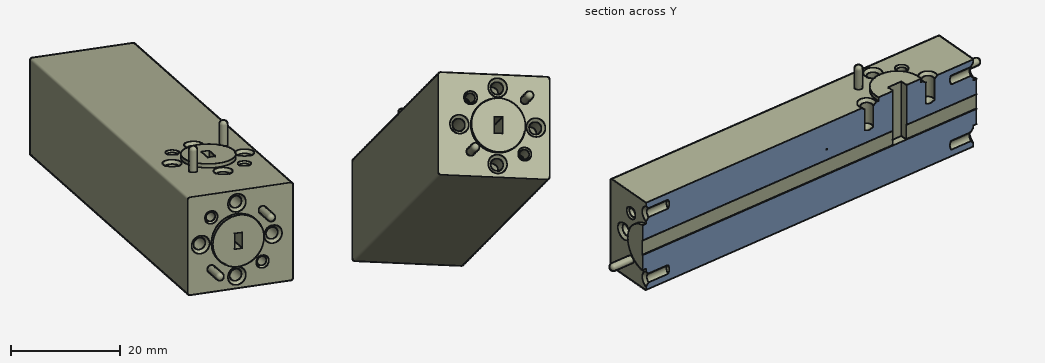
import cadquery as cq
import math

total_length = 86.0
body_width = 20.8
total_height = 24.0

pin_length = 4.8
pin_diameter = 1.55
pin_tip_radius = 0.7

body_length = total_length - 2 * pin_length
body_height = total_height - pin_length
edge_radius = 0.5

boss_diameter = 10.1
boss_height = 0.8
bolt_circle_radius = 7.1
diagonal_offset = bolt_circle_radius * math.sin(math.radians(45))

screw_hole_diameter = 2.3
screw_sink_diameter = 3.5
screw_hole_depth = 5.2
drill_point_angle = 118.0

socket_diameter = 1.8
socket_sink_diameter = 2.5
socket_depth = 5.2

guide_long = 3.1
guide_short = 1.55
guide_offset = 0.7
side_port_x = 21.0
port_height = body_height / 2

pin_places = [(-diagonal_offset, diagonal_offset), (diagonal_offset, -diagonal_offset)]
socket_places = [(diagonal_offset, diagonal_offset), (-diagonal_offset, -diagonal_offset)]
drilled_screw_places = [(-bolt_circle_radius, 0), (bolt_circle_radius, 0), (0, -bolt_circle_radius)]
flat_screw_place = (0, bolt_circle_radius)

top_plane = cq.Plane(
    origin=(side_port_x, guide_offset, body_height), xDir=(1, 0, 0), normal=(0, 0, 1))
left_plane = cq.Plane(
    origin=(-body_length / 2, -guide_offset, port_height), xDir=(0, 0, 1), normal=(-1, 0, 0))
right_plane = cq.Plane(
    origin=(body_length / 2, -guide_offset, port_height), xDir=(0, 0, -1), normal=(1, 0, 0))


def sunk_hole(diameter, sink_diameter, depth, point_angle=None):
    """Cutter for a hole going down from Z = 0, with a 45 degree countersink and an optional drill point."""
    radius = diameter / 2
    sink_radius = sink_diameter / 2
    profile = (
        cq.Workplane("XZ")
        .lineTo(sink_radius, 0)
        .lineTo(radius, radius - sink_radius)
        .lineTo(radius, -depth)
    )
    point_depth = 0
    if point_angle:
        point_depth = radius / math.tan(math.radians(point_angle / 2))
    return profile.lineTo(0, -depth - point_depth).close().revolve(360, (0, 0), (0, 1))


def place(shape, plane, spots):
    """Copies of a shape at local spots on a flange plane."""
    copies = cq.Workplane()
    for x, y in spots:
        copies = copies.add(shape.translate((x, y, 0)).val().moved(plane.location))
    return copies


def cut_each(solid, cutters):
    for cutter in cutters.vals():
        solid = solid.cut(cq.Workplane(cutter))
    return solid


def add_flange(solid, plane, flat_hole_depth):
    """Raised boss, screw holes, pin sockets and alignment pins around one port."""
    boss = cq.Workplane(plane).circle(boss_diameter / 2).extrude(boss_height)
    solid = solid.union(boss)

    drilled_hole = sunk_hole(
        screw_hole_diameter, screw_sink_diameter, screw_hole_depth, drill_point_angle)
    flat_hole = sunk_hole(screw_hole_diameter, screw_sink_diameter, flat_hole_depth)
    socket = sunk_hole(socket_diameter, socket_sink_diameter, socket_depth)
    solid = cut_each(solid, place(drilled_hole, plane, drilled_screw_places))
    solid = cut_each(solid, place(flat_hole, plane, [flat_screw_place]))
    solid = cut_each(solid, place(socket, plane, socket_places))

    pins = (
        cq.Workplane(plane)
        .pushPoints(pin_places)
        .circle(pin_diameter / 2)
        .extrude(pin_length)
        .faces(cq.selectors.DirectionMinMaxSelector(plane.zDir))
        .edges()
        .fillet(pin_tip_radius)
    )
    return solid.union(pins)


body = (
    cq.Workplane("XY")
    .box(body_length, body_width, body_height, centered=(True, True, False))
    .edges("|X")
    .fillet(edge_radius)
)

body = add_flange(body, top_plane, screw_hole_depth)
body = add_flange(body, left_plane, body_length / 2)
body = add_flange(body, right_plane, body_length / 2)

main_guide = (
    cq.Workplane(left_plane)
    .workplane(offset=boss_height)
    .rect(guide_long, guide_short)
    .extrude(-(body_length + 2 * boss_height))
)

side_guide_depth = boss_height + port_height + guide_long / 2
side_guide = (
    cq.Workplane(top_plane)
    .workplane(offset=boss_height)
    .rect(guide_long, guide_short)
    .extrude(-side_guide_depth)
)

result = body.cut(main_guide).cut(side_guide)